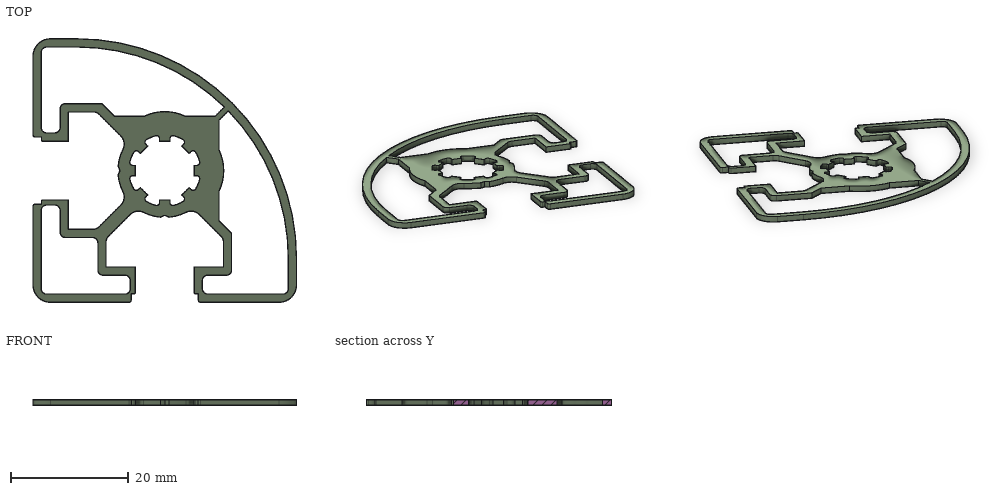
import cadquery as cq
import math

size = 45.0
thickness = 1.0
wall = 1.45

corner_radius = 3.0
arc_radius = 37.5

mouth_half = 5.0
chamber_half = 10.0
lip_depth = 6.08
lip_step = 0.7
rib_offset = 1.6
rib_outer_offset = 0.7
chamber_bend_radius = 1.35
lip_corner_radius = 0.4
lip_step_radius = 0.25

boss_radius = 8.0
boss_blend_radius = 2.0
boss_flat = 9.25
bump_height = 10.1
notch_depth = 0.35
notch_half = 0.85

corner_pocket_lip_wall = 0.9
pocket_radius = 0.9
web_thickness = 0.95

bore_radius = 6.1
tooth_reach = 5.0
tooth_width = 1.8
tooth_count = 8
groove_radius = 0.5

half = size / 2
arc_center = half - arc_radius
inner_half = half - wall
inner_arc_radius = arc_radius - wall
lip_back = lip_depth - half
pocket_lip_back = lip_back - wall
corner_lip_end = mouth_half + corner_pocket_lip_wall
arc_lip_end = mouth_half + wall
chamber_outer = chamber_half + wall


def prism(points):
    return cq.Workplane("XY").polyline(points).close().extrude(thickness)


def cylinder(radius, x=0, y=0):
    return cq.Workplane("XY").center(x, y).circle(radius).extrude(thickness)


def round_edges(body, points, radius):
    """Fillet the upright edges that stand at the given (x, y) points."""
    for x, y in points:
        edge = cq.selectors.NearestToPointSelector((x, y, thickness / 2))
        body = body.edges("|Z").edges(edge).fillet(radius)
    return body


def swap_axes(body):
    """Mirror a body across the vertical plane y = x."""
    return body.mirror("XZ").rotate((0, 0, 0), (0, 0, 1), 90)


def swap_points(points):
    return [(y, x) for x, y in reversed(points)]


def on_arc(radius, angle):
    return (arc_center + radius * math.cos(angle), arc_center + radius * math.sin(angle))


def make_plate():
    """Quarter-round plate with three rounded corners."""
    plate = (
        cq.Workplane("XY")
        .moveTo(-half, -half)
        .lineTo(half, -half)
        .lineTo(half, arc_center)
        .threePointArc(on_arc(arc_radius, math.pi / 4), (arc_center, half))
        .lineTo(-half, half)
        .close()
        .extrude(thickness)
    )
    corners = [(-half, -half), (half, -half), (-half, half)]
    return round_edges(plate, corners, corner_radius)


def make_slot():
    """T-slot opening toward -X, with the round boss standing at its floor."""
    step_y = mouth_half + lip_step
    bend_x = -rib_offset - chamber_half
    upper = [
        (-half, step_y),
        (-inner_half, step_y),
        (-inner_half, mouth_half),
        (lip_back, mouth_half),
        (lip_back, chamber_half),
        (bend_x, chamber_half),
    ]
    lower = [(x, -y) for x, y in reversed(upper)]
    slot = prism(upper + [(-rib_offset, 0)] + lower).cut(cylinder(boss_radius))

    meet_y = (math.sqrt(2 * boss_radius**2 - rib_offset**2) - rib_offset) / 2
    meet_x = -rib_offset - meet_y
    for side in (1, -1):
        slot = round_edges(slot, [(bend_x, side * chamber_half)], chamber_bend_radius)
        slot = round_edges(slot, [(meet_x, side * meet_y)], boss_blend_radius)
        slot = round_edges(slot, [(-inner_half, side * mouth_half)], lip_step_radius)

    notch_sides = [(-boss_radius, side * notch_half) for side in (1, -1)]
    notch = prism(notch_sides + [(notch_depth - boss_radius, 0)])
    return slot.union(notch)


def make_corner_pocket():
    """L-shaped pocket behind the square corner."""
    arm = [
        (-inner_half, -corner_lip_end),
        (pocket_lip_back, -corner_lip_end),
        (pocket_lip_back, -chamber_outer),
    ]
    points = [(-inner_half, -inner_half)] + arm + [(-chamber_outer, -chamber_outer)] + swap_points(arm)
    return round_edges(prism(points), points, pocket_radius)


def make_arc_pocket():
    """Pocket between the upper slot wall, the boss and the curved outer wall."""
    web_shift = web_thickness / math.sqrt(2)
    web_angle = math.pi / 4 + math.asin(web_thickness / 2 / inner_arc_radius)
    rounded = [
        (-inner_half, inner_half),
        (-inner_half, arc_lip_end),
        (pocket_lip_back, arc_lip_end),
        (pocket_lip_back, chamber_outer),
    ]
    boss_side = [
        (rib_outer_offset - chamber_outer, chamber_outer),
        (rib_outer_offset - boss_flat, boss_flat),
        (boss_flat - web_shift, boss_flat),
        on_arc(inner_arc_radius, web_angle),
    ]
    pocket = (
        cq.Workplane("XY")
        .polyline(rounded + boss_side)
        .threePointArc(
            on_arc(inner_arc_radius, (web_angle + math.pi / 2) / 2),
            (arc_center, inner_half),
        )
        .close()
        .extrude(thickness)
    )
    pocket = round_edges(pocket, rounded, pocket_radius)
    return pocket.cut(cylinder(boss_radius, 0, bump_height - boss_radius))


def make_bore():
    """Bore with straight-sided teeth pointing at its axis."""
    bore = cylinder(bore_radius)
    tooth = (
        cq.Workplane("XY")
        .center(tooth_reach, 0)
        .rect(bore_radius, tooth_width, centered=(False, True))
        .extrude(thickness)
    )
    for i in range(tooth_count):
        bore = bore.cut(tooth.rotate((0, 0, 0), (0, 0, 1), i * 360 / tooth_count))

    half_angle = math.asin(tooth_width / 2 / bore_radius)
    for i in range(tooth_count):
        for side in (1, -1):
            angle = i * 2 * math.pi / tooth_count + side * half_angle
            corner = (bore_radius * math.cos(angle), bore_radius * math.sin(angle))
            bore = round_edges(bore, [corner], groove_radius)
    return bore


slot = make_slot()
arc_pocket = make_arc_pocket()

result = make_plate()
for opening in (slot, arc_pocket):
    result = result.cut(opening).cut(swap_axes(opening))
result = result.cut(make_corner_pocket()).cut(make_bore())

mouth_corners = [(-half, side * (mouth_half + lip_step)) for side in (1, -1)]
result = round_edges(result, mouth_corners + swap_points(mouth_corners), lip_corner_radius)